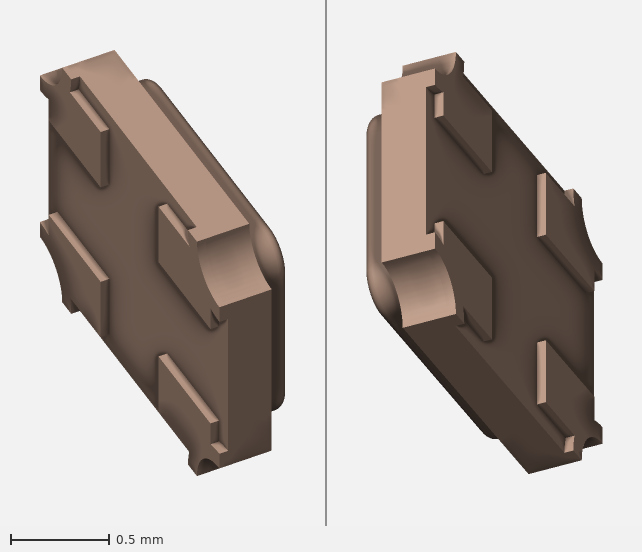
import cadquery as cq

LENGTH = 2.0
WIDTH = 1.6
PAD_THICKNESS = 0.05
BASE_THICKNESS = 0.25
LID_HEIGHT = 0.2
CASTELLATION_RADIUS = 0.25

EDGE_MARGIN = 0.1
PAD_GAP = 0.645

LID_MARGIN = 0.2
LID_CORNER_RADIUS = 0.2
LID_EDGE_FILLET = 0.05

TOTAL_THICKNESS = PAD_THICKNESS + BASE_THICKNESS + LID_HEIGHT
PAD_FRONT = -TOTAL_THICKNESS / 2
BASE_FRONT = PAD_FRONT + PAD_THICKNESS
LID_FRONT = BASE_FRONT + BASE_THICKNESS


def plane_at(y):
    """Sketch plane at position y whose normal points along +Y; local axes are X and -Z."""
    return cq.Workplane(cq.Plane(origin=(0, y, 0), xDir=(1, 0, 0), normal=(0, 1, 0)))


def make_base():
    """Rectangular base of the housing, with a quarter-round castellation at each corner."""
    block = plane_at(BASE_FRONT).rect(LENGTH, WIDTH).extrude(BASE_THICKNESS)
    castellations = (
        plane_at(BASE_FRONT)
        .rect(LENGTH, WIDTH, forConstruction=True)
        .vertices()
        .circle(CASTELLATION_RADIUS)
        .extrude(BASE_THICKNESS)
    )
    return block.cut(castellations)


def make_lid():
    """Round-cornered raised lid of the housing, with a softened outer rim."""
    return (
        plane_at(LID_FRONT)
        .rect(LENGTH - 2 * LID_MARGIN, WIDTH - 2 * LID_MARGIN)
        .extrude(LID_HEIGHT)
        .edges("|Y")
        .fillet(LID_CORNER_RADIUS)
        .faces(">Y")
        .edges()
        .fillet(LID_EDGE_FILLET)
    )


def make_pad(side_x, side_z):
    """Contact pad: an inset block joined to a ring around the corner castellation."""
    corner_x = side_x * LENGTH / 2
    corner_z = side_z * WIDTH / 2
    block_length = (LENGTH - PAD_GAP) / 2 - EDGE_MARGIN
    block_width = (WIDTH - PAD_GAP) / 2 - EDGE_MARGIN
    block_x = side_x * (PAD_GAP + block_length) / 2
    block_z = side_z * (PAD_GAP + block_width) / 2

    block = (
        plane_at(PAD_FRONT)
        .center(block_x, -block_z)
        .rect(block_length, block_width)
        .extrude(PAD_THICKNESS)
    )
    corner = plane_at(PAD_FRONT).center(corner_x, -corner_z)
    ring_disc = corner.circle(CASTELLATION_RADIUS + EDGE_MARGIN).extrude(PAD_THICKNESS)
    castellation = corner.circle(CASTELLATION_RADIUS).extrude(PAD_THICKNESS)
    footprint = plane_at(PAD_FRONT).rect(LENGTH, WIDTH).extrude(PAD_THICKNESS)
    return block.union(ring_disc.intersect(footprint)).cut(castellation)


housing = make_base().union(make_lid())
pads = [make_pad(side_x, side_z) for side_x in (-1, 1) for side_z in (-1, 1)]

result = cq.Compound.makeCompound([housing.val(), *[pad.val() for pad in pads]])